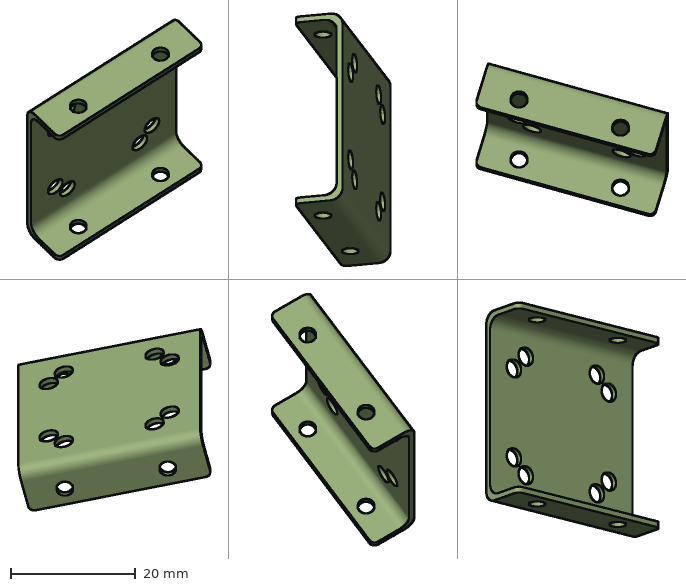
import cadquery as cq

depth = 8.0
width = 30.0
height = 32.0
thickness = 1.0

outer_bend_radius = 2.0
inner_bend_radius = 2.0
corner_radius = 1.0

flange_hole_diameter = 2.7
flange_hole_spacing = 17.0
flange_hole_x = 5.0

web_hole_diameter = 3.0
near_offset = 7.5
far_offset = 10.0


def make_channel():
    """C-shaped channel, open toward +X and centred on Y and Z."""
    outside = (
        cq.Workplane("XY")
        .box(depth, width, height, centered=(False, True, True))
        .edges("|Y and <X")
        .fillet(outer_bend_radius)
    )
    inside = (
        cq.Workplane("XY")
        .box(depth, width, height - 2 * thickness, centered=(False, True, True))
        .edges("|Y and <X")
        .fillet(inner_bend_radius)
        .translate((thickness, 0, 0))
    )
    return outside.cut(inside)


def web_hole_cutters(y_offset, z_offset):
    """Four cylinders through the web, mirrored about both centre planes."""
    return (
        cq.Workplane("YZ")
        .rect(2 * y_offset, 2 * z_offset, forConstruction=True)
        .vertices()
        .circle(web_hole_diameter / 2)
        .extrude(thickness)
    )


def flange_hole_cutters():
    """Two cylinders that pass through both flanges."""
    return (
        cq.Workplane("XY")
        .pushPoints([(flange_hole_x, side * flange_hole_spacing / 2) for side in (-1, 1)])
        .circle(flange_hole_diameter / 2)
        .extrude(height / 2, both=True)
    )


result = make_channel()
result = result.edges("|Z and >X").fillet(corner_radius)
result = result.cut(flange_hole_cutters())
result = result.cut(web_hole_cutters(near_offset, far_offset))
result = result.cut(web_hole_cutters(far_offset, near_offset))